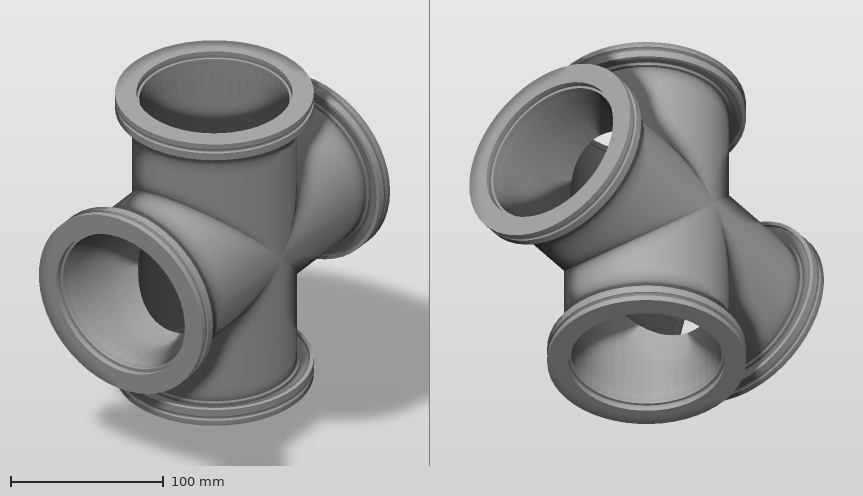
import cadquery as cq

overall_length = 216.0
reach = overall_length / 2

tube_outer_d = 108.0
tube_inner_d = 100.0

flange_d = 130.0
flange_thickness = 12.0
socket_depth = 1.3
rim_groove_width = 3.0
rim_groove_depth = 5.5
back_groove_outer_d = 125.0
back_groove_inner_d = 112.5
back_groove_depth = 2.2
seat_d = 102.2
seat_depth = 4.5
lip_d = 98.5
lip_depth = 6.3

arm_angles = [0, 90, 180, 270]


def cylinder(diameter, bottom, top):
    """Solid cylinder on the Z axis between two heights."""
    return cq.Workplane("XY").workplane(offset=bottom).circle(diameter / 2).extrude(top - bottom)


def make_flange():
    """Flange of the +Z arm, with its open face at the end of the arm."""
    back = reach - flange_thickness
    flange = cylinder(flange_d, back, reach)

    flange = flange.cut(cylinder(lip_d, back, reach))
    flange = flange.cut(cylinder(seat_d, reach - seat_depth, reach))
    flange = flange.cut(cylinder(tube_inner_d, back, reach - lip_depth))

    flange = flange.cut(cylinder(tube_outer_d, back, back + socket_depth))

    groove_top = back + back_groove_depth
    back_groove = cylinder(back_groove_outer_d, back, groove_top).cut(
        cylinder(back_groove_inner_d, back, groove_top)
    )
    flange = flange.cut(back_groove)

    rim_groove = (
        cq.Workplane("XZ")
        .center(flange_d / 2, reach - rim_groove_depth)
        .circle(rim_groove_width / 2)
        .revolve(360, (-flange_d / 2, 0), (-flange_d / 2, 1))
    )
    return flange.cut(rim_groove)


def make_tube():
    """Tube of the +Z arm, mitred at 45 degrees to meet its two neighbours."""
    end = reach - flange_thickness + socket_depth
    tube = cylinder(tube_outer_d, 0, end).cut(cylinder(tube_inner_d, 0, end))
    mitre_wedge = (
        cq.Workplane("YZ")
        .polyline([(0, 0), (end, end), (-end, end)])
        .close()
        .extrude(tube_outer_d, both=True)
    )
    return tube.intersect(mitre_wedge)


def place_on_arms(body):
    """One separate copy of a +Z arm body on each of the four arms."""
    return [body.rotate((0, 0, 0), (1, 0, 0), angle).val() for angle in arm_angles]


flanges = place_on_arms(make_flange())
tubes = place_on_arms(make_tube())

result = cq.Compound.makeCompound([*flanges, *tubes])